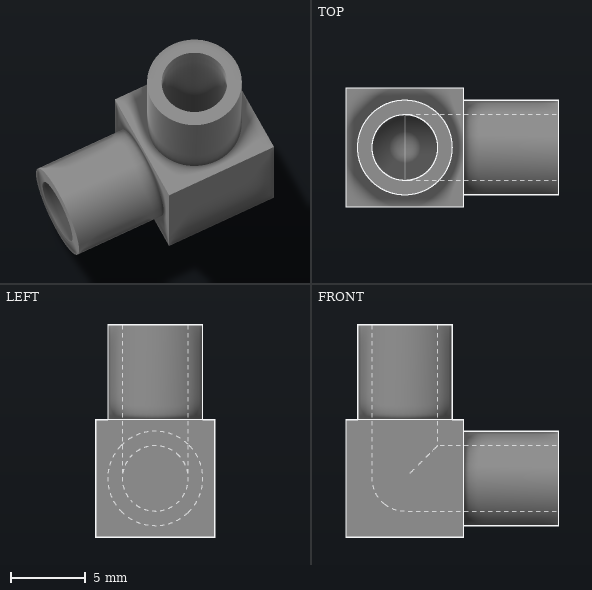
import cadquery as cq

overall_length = 14.25
block_side = 7.9
block_depth = 8.0
tube_diameter = 6.35
bore_diameter = 4.4

tube_reach = overall_length - block_side / 2
bore_radius = bore_diameter / 2


def rod_up(diameter):
    """Cylinder from the elbow centre to the top tube end."""
    return cq.Workplane("XY").circle(diameter / 2).extrude(tube_reach)


def rod_sideways(diameter):
    """Cylinder from the elbow centre to the side tube end."""
    return cq.Workplane("YZ").circle(diameter / 2).extrude(tube_reach)


block = cq.Workplane("XY").box(block_side, block_depth, block_side)
body = block.union(rod_up(tube_diameter)).union(rod_sideways(tube_diameter))

elbow = cq.Workplane("XY").sphere(bore_radius)
result = body.cut(rod_up(bore_diameter)).cut(rod_sideways(bore_diameter)).cut(elbow)